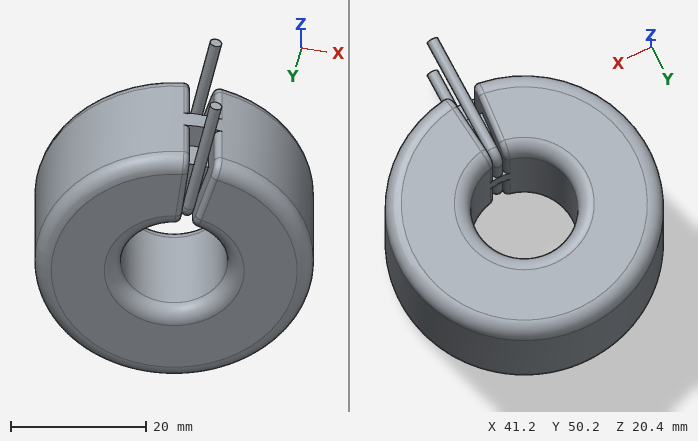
import cadquery as cq
import math

outer_diameter = 41.2
height = 20.4
bore_radius = 7.95
rim_radius = 2.4

slot_half_angle = 5.0
slot_half_width_at_bore = 0.85
slot_lip_radius = 0.9
web_thickness = 2.9
web_half_angle = 14.0

ring_height = 11.65
ring_outer_radius = 16.8
wire_diameter = 1.75
lead_spacing = 15.05
bend_radius = 1.5
overall_length = 50.2
bore_wall = 0.05

outer_radius = outer_diameter / 2
wire_radius = wire_diameter / 2
upright_radius = bore_radius + bore_wall + wire_radius
lead_end_y = outer_radius - overall_length
ring_inner_radius = upright_radius
cut_reach = outer_diameter


def slot_half_width(distance):
    """Half the slot width at a distance from the Z axis toward -Y."""
    slope = math.tan(math.radians(slot_half_angle))
    return slot_half_width_at_bore + slope * (distance - bore_radius)


def tube(inner_radius, wall_radius, tube_height):
    """Plain tube about Z, centred on the XY plane."""
    return (
        cq.Workplane("XY")
        .circle(wall_radius)
        .circle(inner_radius)
        .extrude(tube_height / 2, both=True)
    )


def make_slotted_body():
    """Ring with rounded rims, cut by the slot, with rounded lips around both slot walls."""
    body = tube(bore_radius, outer_radius, height).faces("|Z").edges().fillet(rim_radius)
    inner_half = slot_half_width(0)
    outer_half = slot_half_width(cut_reach)
    slot = (
        cq.Workplane("XY")
        .moveTo(-inner_half, 0)
        .lineTo(-outer_half, -cut_reach)
        .lineTo(outer_half, -cut_reach)
        .lineTo(inner_half, 0)
        .close()
        .extrude(height, both=True)
    )
    body = body.cut(slot)
    middle = (bore_radius + outer_radius) / 2
    for side in (-1, 1):
        wall = cq.selectors.NearestToPointSelector((side * slot_half_width(middle), -middle, 0))
        body = body.faces(wall).edges().fillet(slot_lip_radius)
    return body


def make_web():
    """Bridge that closes the slot and its lips, flush with the outer wall and the bore."""
    half_width = cut_reach * math.tan(math.radians(web_half_angle))
    sector = (
        cq.Workplane("XY")
        .polyline([(0, 0), (-half_width, -cut_reach), (half_width, -cut_reach)])
        .close()
        .extrude(height, both=True)
    )
    return tube(bore_radius, outer_radius, web_thickness).intersect(sector)


def make_coil():
    """Ring with two leads along -Y, joined by an upright at the inside of the ring."""
    lead_z = lead_spacing / 2
    upright_y = -upright_radius
    upright_z = lead_z - bend_radius
    bend_y = upright_y - bend_radius
    bend_offset = bend_radius * math.sqrt(0.5)
    bend_mid_y = bend_y + bend_offset
    bend_mid_z = upright_z + bend_offset
    path = (
        cq.Workplane("YZ")
        .moveTo(lead_end_y, lead_z)
        .lineTo(bend_y, lead_z)
        .threePointArc((bend_mid_y, bend_mid_z), (upright_y, upright_z))
        .lineTo(upright_y, -upright_z)
        .threePointArc((bend_mid_y, -bend_mid_z), (bend_y, -lead_z))
        .lineTo(lead_end_y, -lead_z)
    )
    wire = (
        cq.Workplane("XZ", origin=(0, lead_end_y, lead_z))
        .circle(wire_radius)
        .sweep(path)
    )
    return tube(ring_inner_radius, ring_outer_radius, ring_height).union(wire)


def make_housing(coil_body):
    """Slotted body and web, hollowed to fit the coil."""
    return make_slotted_body().union(make_web()).cut(coil_body)


coil = make_coil()
housing = make_housing(coil)

result = cq.Compound.makeCompound([housing.solids().val(), coil.solids().val()])